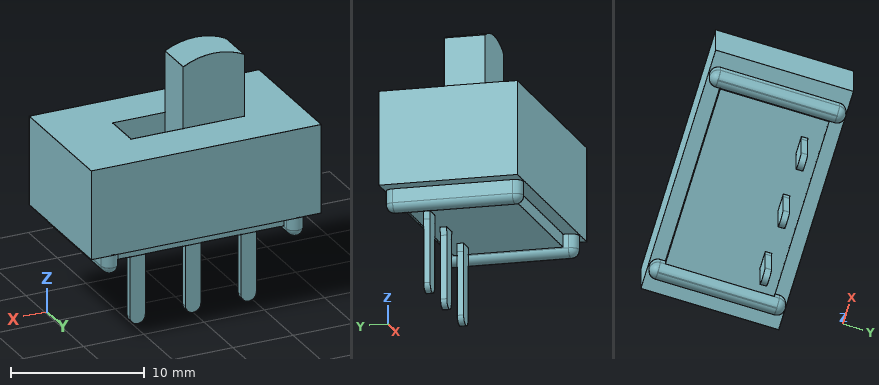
import cadquery as cq

HOUSING_LENGTH = 19.1
HOUSING_WIDTH = 10.8
HOUSING_HEIGHT = 7.32
HOUSING_BOTTOM = 7.25
HOUSING_TOP = HOUSING_BOTTOM + HOUSING_HEIGHT

RAIL_THICKNESS = 1.32
RAIL_LENGTH = 10.63
RAIL_HEIGHT = 1.7
RAIL_SPACING = 15.38
RAIL_OFFSET = 0.05
RAIL_FILLET = 0.63
PLATE_LENGTH = 14.0
PLATE_WIDTH = 8.52
PLATE_HEIGHT = 1.01
PLATE_BOTTOM = HOUSING_BOTTOM - PLATE_HEIGHT

SLOT_START = -5.0
SLOT_LENGTH = 9.41
SLOT_WIDTH = 3.19
SLOT_DEPTH = 2.07
SLOT_FLOOR = HOUSING_TOP - SLOT_DEPTH
SLIDER_LENGTH = 5.1
SLIDER_TOP = 20.3
CROWN_RISE = 0.63

PIN_COUNT = 3
PIN_PITCH = 4.6
PIN_Y = 2.86
PIN_WIDTH = 1.3
PIN_THICKNESS = 0.5
SHOULDER_WIDTH = 1.42
SHOULDER_HEIGHT = 0.63


def make_box(length, width, height, center_x, bottom):
    """Box centred on Y = 0, standing on the level `bottom`."""
    return (
        cq.Workplane("XY", origin=(center_x, 0, bottom))
        .box(length, width, height, centered=(True, True, False))
    )


def make_rail(center_x):
    """Rail along Y with round ends and a rounded underside."""
    return (
        cq.Workplane("XY", origin=(center_x, 0, HOUSING_BOTTOM - RAIL_HEIGHT))
        .slot2D(RAIL_LENGTH, RAIL_THICKNESS, 90)
        .extrude(RAIL_HEIGHT)
        .faces("<Z")
        .edges()
        .fillet(RAIL_FILLET)
    )


def make_housing():
    """Block with rails and plate below and a blind slot in the top."""
    body = make_box(HOUSING_LENGTH, HOUSING_WIDTH, HOUSING_HEIGHT, 0, HOUSING_BOTTOM)
    plate = make_box(PLATE_LENGTH, PLATE_WIDTH, PLATE_HEIGHT, 0, PLATE_BOTTOM)
    slot_center = SLOT_START + SLOT_LENGTH / 2
    slot = make_box(SLOT_LENGTH, SLOT_WIDTH, SLOT_DEPTH, slot_center, SLOT_FLOOR)
    body = body.union(plate).cut(slot)
    for side in (-1, 1):
        body = body.union(make_rail(RAIL_OFFSET + side * RAIL_SPACING / 2))
    return body


def make_slider():
    """Finger knob with a crowned top, standing on the slot floor."""
    end_x = SLOT_START + SLIDER_LENGTH
    middle_x = SLOT_START + SLIDER_LENGTH / 2
    crown_base = SLIDER_TOP - CROWN_RISE
    return (
        cq.Workplane("XZ")
        .moveTo(SLOT_START, SLOT_FLOOR)
        .lineTo(end_x, SLOT_FLOOR)
        .lineTo(end_x, crown_base)
        .threePointArc((middle_x, SLIDER_TOP), (SLOT_START, crown_base))
        .close()
        .extrude(SLOT_WIDTH / 2, both=True)
    )


def make_pin(center_x):
    """Flat pin with a round tip and a shoulder that widens toward the plate."""
    half_width = PIN_WIDTH / 2
    half_shoulder = SHOULDER_WIDTH / 2
    shoulder_bottom = PLATE_BOTTOM - SHOULDER_HEIGHT
    return (
        cq.Workplane("XZ", origin=(center_x, PIN_Y, 0))
        .moveTo(-half_shoulder, PLATE_BOTTOM)
        .lineTo(-half_width, shoulder_bottom)
        .lineTo(-half_width, half_width)
        .threePointArc((0, 0), (half_width, half_width))
        .lineTo(half_width, shoulder_bottom)
        .lineTo(half_shoulder, PLATE_BOTTOM)
        .close()
        .extrude(PIN_THICKNESS / 2, both=True)
    )


housing = make_housing()
slider = make_slider()
pins = []
for index in range(PIN_COUNT):
    pin_x = (index - (PIN_COUNT - 1) / 2) * PIN_PITCH
    pins.append(make_pin(pin_x).val())

result = cq.Compound.makeCompound([housing.val(), slider.val(), *pins])